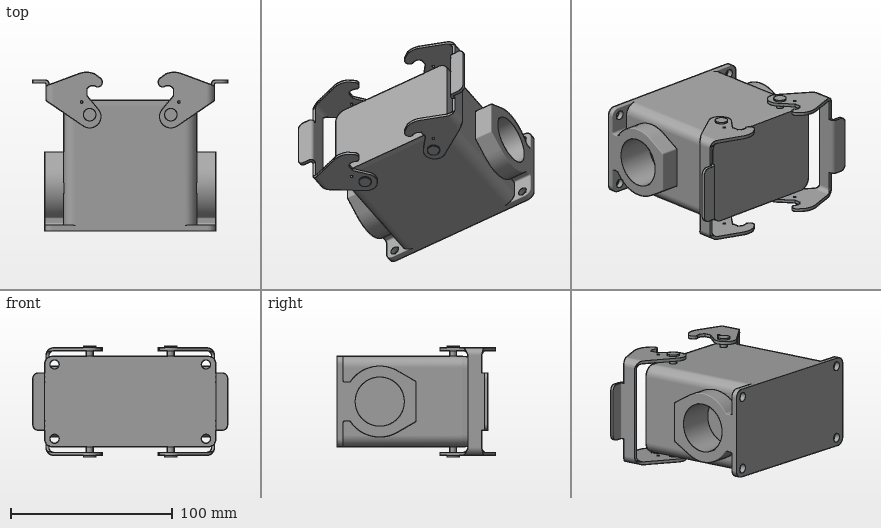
import cadquery as cq
import math

plate_width = 106.0
depth = 56.2
plate_thickness = 3.9
plate_corner_radius = 4.8
mount_hole_diameter = 5.5
mount_hole_spacing_x = 93.7
mount_hole_spacing_z = 45.9
body_width = 82.4
body_end = 81.0
body_corner_radius = 7.0
rim_length = 3.5
rim_taper = 4

bore_diameter = 30.4
bore_depth = 24.2
entry_y = 26.6
boss_radius = 22.0
boss_end = 49.0
boss_slope = math.radians(30)
neck_height = 24.0
boss_blend_radius = 1.2
edge_round = 0.5

sheet = 1.9
lever_half_depth = 33.3
lever_outer_x = 52.2
bend_radius = 4.8
back_low_y = 81.0
back_high_y = 89.7
flare_radius = 3.0
small_hole_diameter = 1.6
small_hole_x = -30.1
small_hole_y = 79.8
lobe_radius = 7.0
lobe_offset = 1.2
low_corner_y = 80.7
high_corner_y = 89.8
crown_start = (-30.7, 97.8)
crown_middle = (-26.3, 98.3)
crown_end = (-22.1, 97.3)
tip_start = (-18.6, 94.7)
tip_middle = (-17.5, 90.8)
tip_end = (-20.5, 89.0)
throat_middle = (-23.8, 89.8)
throat_end = (-26.7, 88.0)
throat_foot = (-26.7, 83.7)
tab_tip_x = 60.4
tab_top_y = 93.5
tab_length = 35.6
tab_corner_radius = 3.6
tab_bend_radius = 0.5

pivot_x = 25.1
pivot_y = 72.0
pin_diameter = 4.5
head_diameter = 7.7
head_thickness = 1.0


def make_boss():
    """Round boss with a sloped, flat-ended side towards +Y and a neck down to the mounting plate."""
    slope_start_y = entry_y + boss_radius * math.sin(boss_slope)
    slope_start_z = boss_radius * math.cos(boss_slope)
    flat_half_height = slope_start_z - (boss_end - slope_start_y) * math.tan(boss_slope)

    section = cq.Workplane("YZ", origin=(-plate_width / 2, 0, 0))
    round_part = section.center(entry_y, 0).circle(boss_radius).extrude(plate_width)
    sloped_part = (
        section.moveTo(entry_y, 0)
        .lineTo(slope_start_y, slope_start_z)
        .lineTo(boss_end, flat_half_height)
        .lineTo(boss_end, -flat_half_height)
        .lineTo(slope_start_y, -slope_start_z)
        .close()
        .extrude(plate_width)
    )
    neck = section.center(entry_y / 2, 0).rect(entry_y, neck_height).extrude(plate_width)
    return round_part.union(sloped_part).union(neck)


def make_plate():
    """Mounting plate with rounded corners."""
    return (
        cq.Workplane("XZ")
        .rect(plate_width, depth)
        .extrude(-plate_thickness)
        .edges("|Y")
        .fillet(plate_corner_radius)
    )


def make_body():
    """Rounded box with a slightly tapered rim at the mating end."""
    straight_end = body_end - rim_length
    outline = cq.Sketch().rect(body_width, depth).vertices().fillet(body_corner_radius)
    straight_part = cq.Workplane("XZ").placeSketch(outline).extrude(-straight_end)
    rim = (
        cq.Workplane("XZ", origin=(0, straight_end, 0))
        .placeSketch(outline)
        .extrude(-rim_length, taper=rim_taper)
    )
    return straight_part.union(rim)


def make_housing():
    """Mounting plate, cable entry boss and body in one piece, with bores and mounting holes."""
    base = make_plate().union(make_boss())

    neck_corners = cq.selectors.BoxSelector(
        (-plate_width, plate_thickness / 2, -boss_radius),
        (plate_width, entry_y / 2, boss_radius),
    )
    base = base.edges("|X").edges(neck_corners).fillet(boss_blend_radius)
    base = base.faces(">Y").edges("|X").fillet(boss_blend_radius)

    above_plate = cq.selectors.BoxSelector(
        (-plate_width, plate_thickness - edge_round, -depth),
        (plate_width, body_end, depth),
    )
    base = base.faces("<X or >X").edges(above_plate).fillet(edge_round)

    housing = base.union(make_body())
    for side in (-1, 1):
        bore = (
            cq.Workplane("YZ", origin=(side * plate_width / 2, entry_y, 0))
            .circle(bore_diameter / 2)
            .extrude(-side * bore_depth)
        )
        housing = housing.cut(bore)
    mount_holes = (
        cq.Workplane("XZ")
        .rarray(mount_hole_spacing_x, mount_hole_spacing_z, 2, 2)
        .circle(mount_hole_diameter / 2)
        .extrude(-plate_thickness)
    )
    return housing.cut(mount_holes)


def tangent_point(start, centre, radius, turn):
    """Point where a line from start touches a circle; turn is +1 or -1 and picks one of the two."""
    dx = start[0] - centre[0]
    dy = start[1] - centre[1]
    angle = math.atan2(dy, dx) + turn * math.acos(radius / math.hypot(dx, dy))
    return (centre[0] + radius * math.cos(angle), centre[1] + radius * math.sin(angle))


def lever_outline():
    """Side outline of a lever: hook at +Y, round lobe around the pivot, straight back at -X."""
    low_corner = (-lever_outer_x, low_corner_y)
    high_corner = (-lever_outer_x, high_corner_y)
    lobe_centre = (-pivot_x, pivot_y - lobe_offset)
    lobe_start = tangent_point(throat_foot, lobe_centre, lobe_radius, -1)
    lobe_end = tangent_point(low_corner, lobe_centre, lobe_radius, 1)
    lobe_bottom = (lobe_centre[0], lobe_centre[1] - lobe_radius)
    return (
        cq.Workplane("XY", origin=(0, 0, -lever_half_depth))
        .moveTo(*low_corner)
        .lineTo(*high_corner)
        .lineTo(*crown_start)
        .threePointArc(crown_middle, crown_end)
        .lineTo(*tip_start)
        .threePointArc(tip_middle, tip_end)
        .threePointArc(throat_middle, throat_end)
        .lineTo(*throat_foot)
        .lineTo(*lobe_start)
        .threePointArc(lobe_bottom, lobe_end)
        .close()
        .extrude(2 * lever_half_depth)
    )


def back_trim():
    """Material cut off both edges of a lever back so that they are square and flare into the cheeks."""
    bend_start_x = bend_radius - lever_outer_x
    gap_between_cheeks = 2 * (lever_half_depth - sheet)
    trim_size = 2 * bend_radius
    low = (
        cq.Workplane("XY")
        .box(trim_size, trim_size, gap_between_cheeks)
        .faces(">Y")
        .edges("|X")
        .fillet(flare_radius)
        .translate((bend_start_x - trim_size / 2, back_low_y - trim_size / 2, 0))
    )
    high = low.mirror("XZ", (0, (back_low_y + back_high_y) / 2, 0))
    return low.union(high)


def make_lever():
    """Lever at -X: a U of bent sheet cut to the side outline, with a finger tab and pivot holes."""
    reach = body_end + lever_outer_x
    outer = (
        cq.Workplane("XZ")
        .rect(2 * lever_outer_x, 2 * lever_half_depth)
        .extrude(-reach)
        .edges("|Y")
        .fillet(bend_radius)
    )
    inner = (
        cq.Workplane("XZ")
        .rect(2 * (lever_outer_x - sheet), 2 * (lever_half_depth - sheet))
        .extrude(-reach)
        .edges("|Y")
        .fillet(bend_radius - sheet)
    )
    lever = lever_outline().intersect(outer.cut(inner))
    lever = lever.cut(back_trim()).union(make_tab())

    pivot_holes = (
        cq.Workplane("XY", origin=(-pivot_x, pivot_y, -lever_half_depth))
        .circle(pin_diameter / 2)
        .extrude(2 * lever_half_depth)
    )
    small_holes = (
        cq.Workplane("XY", origin=(small_hole_x, small_hole_y, -lever_half_depth))
        .circle(small_hole_diameter / 2)
        .extrude(2 * lever_half_depth)
    )
    return lever.cut(pivot_holes).cut(small_holes)


def make_tab():
    """Finger tab: the middle of the back sheet bent outwards to lie square to it."""
    root_y = (back_low_y + back_high_y) / 2
    inner_x = sheet - lever_outer_x
    outer_bend = tab_bend_radius + sheet
    blank = (
        cq.Workplane("XY", origin=(0, 0, -tab_length / 2))
        .moveTo(inner_x, root_y)
        .lineTo(inner_x, tab_top_y - outer_bend)
        .radiusArc((inner_x - outer_bend, tab_top_y), -outer_bend)
        .lineTo(-tab_tip_x, tab_top_y)
        .lineTo(-tab_tip_x, tab_top_y - sheet)
        .lineTo(-lever_outer_x - tab_bend_radius, tab_top_y - sheet)
        .radiusArc((-lever_outer_x, tab_top_y - outer_bend), tab_bend_radius)
        .lineTo(-lever_outer_x, root_y)
        .close()
        .extrude(tab_length)
    )
    return blank.faces("<X").edges("|Y").fillet(tab_corner_radius)


def make_pin():
    """Pivot pin at -X on the +Z face: a shank standing on the body and a flat head outside the lever."""
    shank = (
        cq.Workplane("XY", origin=(-pivot_x, pivot_y, depth / 2))
        .circle(pin_diameter / 2)
        .extrude(lever_half_depth - depth / 2)
    )
    head = (
        cq.Workplane("XY", origin=(-pivot_x, pivot_y, lever_half_depth))
        .circle(head_diameter / 2)
        .extrude(head_thickness)
    )
    return shank.union(head)


housing = make_housing()

lever = make_lever()
levers = [lever, lever.mirror("YZ")]

pin = make_pin()
pins = []
for upper_pin in (pin, pin.mirror("YZ")):
    pins.append(upper_pin)
    pins.append(upper_pin.mirror("XY"))

bodies = [housing, *levers, *pins]
result = cq.Compound.makeCompound([body.val() for body in bodies])